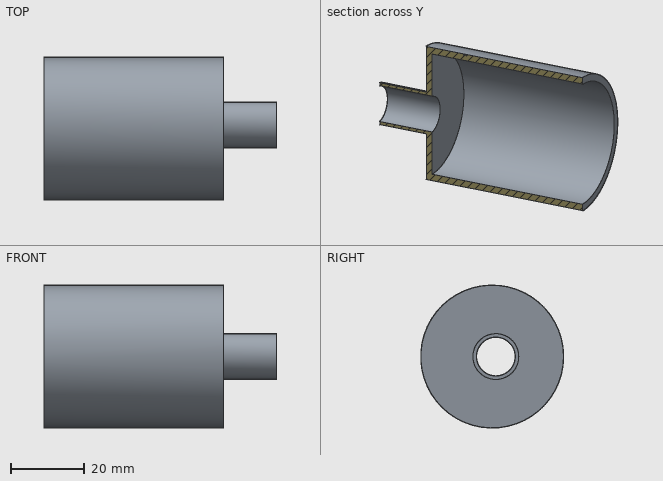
import cadquery as cq

body_diameter = 39.0
body_length = 49.0
wall_thickness = 2.0
floor_thickness = wall_thickness

overall_length = 63.5
spigot_length = overall_length - body_length
spigot_bore_diameter = 10.5
spigot_wall = 1.0
spigot_diameter = spigot_bore_diameter + 2 * spigot_wall
spigot_offset_y = 1.0


def cylinder_along_x(diameter, start_x, length, center_y=0.0):
    """Solid cylinder running in +X from start_x."""
    return (
        cq.Workplane("YZ", origin=(start_x, center_y, 0))
        .circle(diameter / 2)
        .extrude(length)
    )


def make_housing():
    """Tube closed at +X by a flat floor."""
    outside = cylinder_along_x(body_diameter, 0, body_length)
    cavity_diameter = body_diameter - 2 * wall_thickness
    cavity = cylinder_along_x(cavity_diameter, 0, body_length - floor_thickness)
    return outside.cut(cavity)


def make_spigot():
    """Spigot before it is bored."""
    return cylinder_along_x(spigot_diameter, body_length, spigot_length, spigot_offset_y)


def make_spigot_bore():
    """Through hole from the cavity to the spigot end."""
    bore_start = body_length - floor_thickness
    bore_length = floor_thickness + spigot_length
    return cylinder_along_x(spigot_bore_diameter, bore_start, bore_length, spigot_offset_y)


result = make_housing().union(make_spigot()).cut(make_spigot_bore())